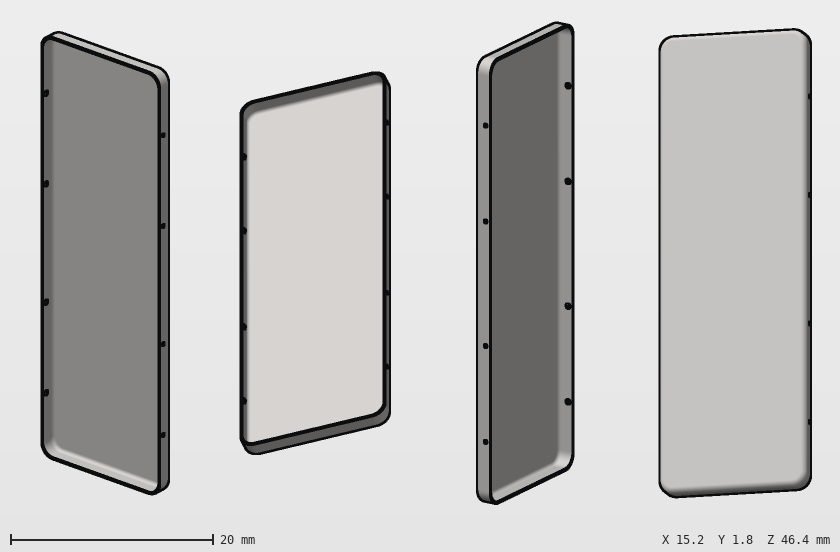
import cadquery as cq

width = 15.2
depth = 1.8
height = 46.4
wall = 0.225
corner_radius = 1.5
back_edge_radius = 0.6

dimple_depth = 0.15
hollow_mouth_radius = 0.2
hollow_floor_radius = 0.05
bump_base_radius = 0.3
bump_tip_radius = 0.07
dimple_from_rim = 0.5
dimple_heights = (-16.45, -6.5, 6.5, 16.45)

rim_y = -depth / 2


def rounded_block(inset):
    """Tray envelope shrunk by inset on its sides and back, with rounded corners and back edge."""
    return (
        cq.Workplane("XZ", origin=(0, rim_y, 0))
        .rect(width - 2 * inset, height - 2 * inset)
        .extrude(-(depth - inset))
        .edges("|Y")
        .fillet(corner_radius - inset)
        .faces(">Y")
        .edges()
        .fillet(back_edge_radius - inset)
    )


def dimple_cones(inset, base_radius, tip_radius):
    """Blunt cones at every dimple, pointing inward from the given inset behind the side faces."""
    cones = cq.Workplane("XY")
    for side in (-1, 1):
        for z in dimple_heights:
            base = cq.Vector(side * (width / 2 - inset), rim_y + dimple_from_rim, z)
            inward = cq.Vector(-side, 0, 0)
            cone = cq.Solid.makeCone(base_radius, tip_radius, dimple_depth, base, inward)
            cones = cones.add(cone)
    return cones.combine()


tray = rounded_block(0).cut(rounded_block(wall))
bumps = dimple_cones(wall, bump_base_radius, bump_tip_radius)
hollows = dimple_cones(0, hollow_mouth_radius, hollow_floor_radius)
result = tray.union(bumps).cut(hollows)